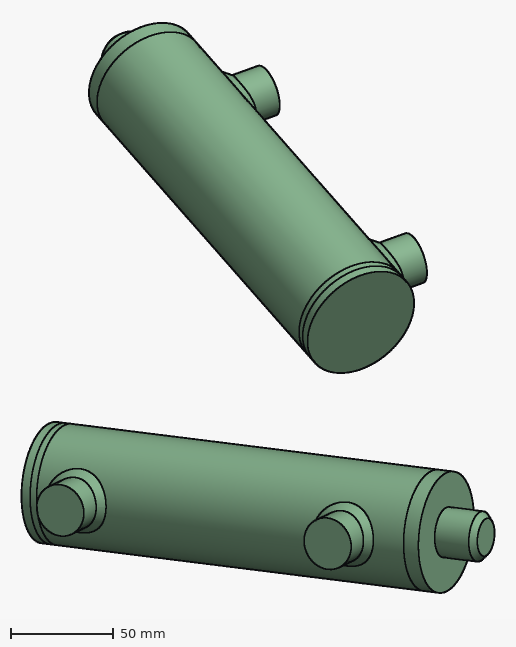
import cadquery as cq

total_length = 240.0
barrel_diameter = 60.0
barrel_radius = barrel_diameter / 2

head_start = 21.8
tube_start = 30.0
ring_start = 231.5
end_cap_start = 235.2

rod_diameter = 25.0
rod_chamfer = 3.0

port_diameter = 26.0
port_height = 16.8
port_tip = barrel_radius + port_height
first_port_x = 63.0
port_spacing = 147.0
port_positions = [first_port_x, first_port_x + port_spacing]
weld_leg = 3.5


def cylinder_along_x(start, end, diameter):
    """Solid cylinder on the X axis between two stations."""
    return cq.Workplane("YZ").workplane(offset=start).circle(diameter / 2).extrude(end - start)


def make_rod():
    """Rod standing out of the head, with a chamfered tip."""
    return cylinder_along_x(0, head_start, rod_diameter).faces("<X").chamfer(rod_chamfer)


def make_head():
    """Head disc that the rod comes out of."""
    return cylinder_along_x(head_start, tube_start, barrel_diameter)


def make_tube():
    """Long barrel between the head and the ring."""
    return cylinder_along_x(tube_start, ring_start, barrel_diameter)


def make_ring():
    """Narrow joint band between the tube and the end cap."""
    return cylinder_along_x(ring_start, end_cap_start, barrel_diameter)


def make_end_cap():
    """Disc that closes the far end."""
    return cylinder_along_x(end_cap_start, total_length, barrel_diameter)


def make_port(x, tube):
    """Round port whose foot is saddled onto the tube."""
    axis_plane = cq.Plane(origin=(x, 0, 0), xDir=(1, 0, 0), normal=(0, 1, 0))
    post = cq.Workplane(axis_plane).circle(port_diameter / 2).extrude(port_tip)
    return post.cut(tube)


def make_weld(tube, port):
    """Sloped bead filling the corner where a port meets the tube."""
    joined = tube.union(port)
    saddle = joined.edges("%BSPLINE")
    return saddle.chamfer(weld_leg).cut(tube).cut(port)


rod = make_rod()
head = make_head()
tube = make_tube()
ring = make_ring()
end_cap = make_end_cap()
ports = [make_port(x, tube) for x in port_positions]
welds = [make_weld(tube, port) for port in ports]

result = cq.Compound.makeCompound([
    rod.solids().val(),
    head.solids().val(),
    tube.solids().val(),
    ring.solids().val(),
    end_cap.solids().val(),
    *[port.solids().val() for port in ports],
    *[weld.solids().val() for weld in welds],
])